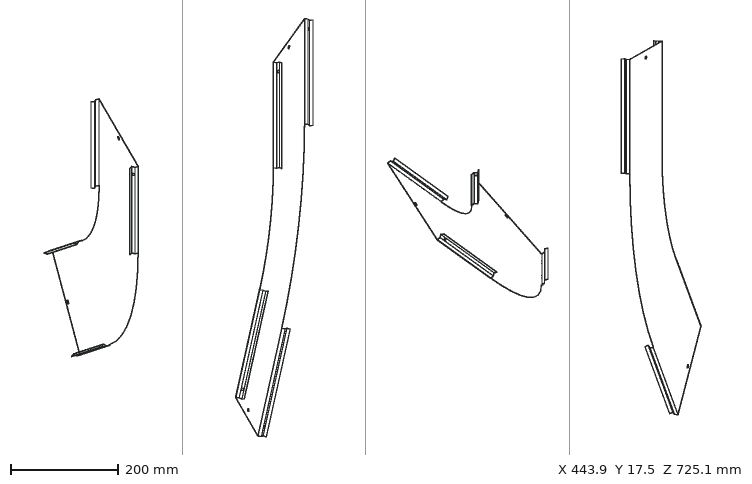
import cadquery as cq
import math

bend_angle = 45.0
inner_radius = 300.0
plate_width = 200.0
flange_length = 217.0
flange_overhang = 1.5
sheet = 1.0
flange_depth = 17.5
wall_depth = 7.0
groove_depth = 11.5
groove_inset = 6.0
lip_inset = 1.1

plate_slot_length = 7.0
plate_slot_width = 5.0
plate_slot_from_end = 14.0
flange_hole_diameter = 5.0
flange_hole_from_end = 19.0

outer_radius = inner_radius + plate_width
middle_radius = inner_radius + plate_width / 2
flange_outer_width = plate_width + 2 * flange_overhang


def curved_plate():
    """Flat ring sector about the Y axis, from the X axis down through the bend angle."""
    half = math.radians(bend_angle / 2)
    full = math.radians(bend_angle)

    def on_arc(radius, angle):
        return (radius * math.cos(angle), -radius * math.sin(angle))

    return (
        cq.Workplane("XZ")
        .moveTo(*on_arc(inner_radius, 0))
        .lineTo(*on_arc(outer_radius, 0))
        .threePointArc(on_arc(outer_radius, half), on_arc(outer_radius, full))
        .lineTo(*on_arc(inner_radius, full))
        .threePointArc(on_arc(inner_radius, half), on_arc(inner_radius, 0))
        .close()
        .extrude(sheet)
    )


def flange(side):
    """Wall, V groove and free lip along one edge; side is +1 outside the bend, -1 inside."""
    edge = flange_outer_width / 2
    lip_edge = edge - lip_inset
    lip_slope = math.atan2(flange_depth - groove_depth, groove_inset - lip_inset)
    lip_normal_x = math.sin(lip_slope)
    lip_normal_y = math.cos(lip_slope)
    outer_face = [
        (edge, 0),
        (edge, -wall_depth),
        (edge - groove_inset + sheet, -groove_depth),
        (lip_edge, -flange_depth + lip_normal_y * sheet),
    ]
    inner_face = [
        (lip_edge - lip_normal_x * sheet, -flange_depth),
        (edge - groove_inset, -groove_depth),
        (edge - sheet, -wall_depth),
        (edge - sheet, 0),
    ]
    outline = [(middle_radius + side * x, y) for x, y in outer_face + inner_face]
    return cq.Workplane("XY").polyline(outline).close().extrude(flange_length)


def flange_hole(side):
    """Cutter square to the groove face nearest the plate, at the middle of that face."""
    face_x = flange_outer_width / 2 - groove_inset / 2
    face_y = -(wall_depth + groove_depth) / 2
    groove_normal = (side * (groove_depth - wall_depth), -groove_inset, 0)
    hole_plane = cq.Plane(
        origin=(middle_radius + side * face_x, face_y, flange_length - flange_hole_from_end),
        xDir=(0, 0, 1),
        normal=groove_normal,
    )
    return cq.Workplane(hole_plane).circle(flange_hole_diameter / 2).extrude(2 * sheet, both=True)


def straight_arm():
    """Straight run rising in Z from the bend: plate, two flanges, slot and flange holes."""
    arm = (
        cq.Workplane("XY")
        .box(flange_outer_width, sheet, flange_length, centered=(True, False, False))
        .translate((middle_radius, -sheet, 0))
        .union(flange(1))
        .union(flange(-1))
    )
    plate_slot = (
        cq.Workplane("XZ")
        .center(middle_radius, flange_length - plate_slot_from_end)
        .slot2D(plate_slot_length, plate_slot_width)
        .extrude(sheet)
    )
    arm = arm.cut(plate_slot)
    for side in (1, -1):
        arm = arm.cut(flange_hole(side))
    return arm


upper_arm = straight_arm()
lower_arm = upper_arm.mirror("XY").rotate((0, 0, 0), (0, 1, 0), bend_angle)

result = curved_plate().union(upper_arm).union(lower_arm)